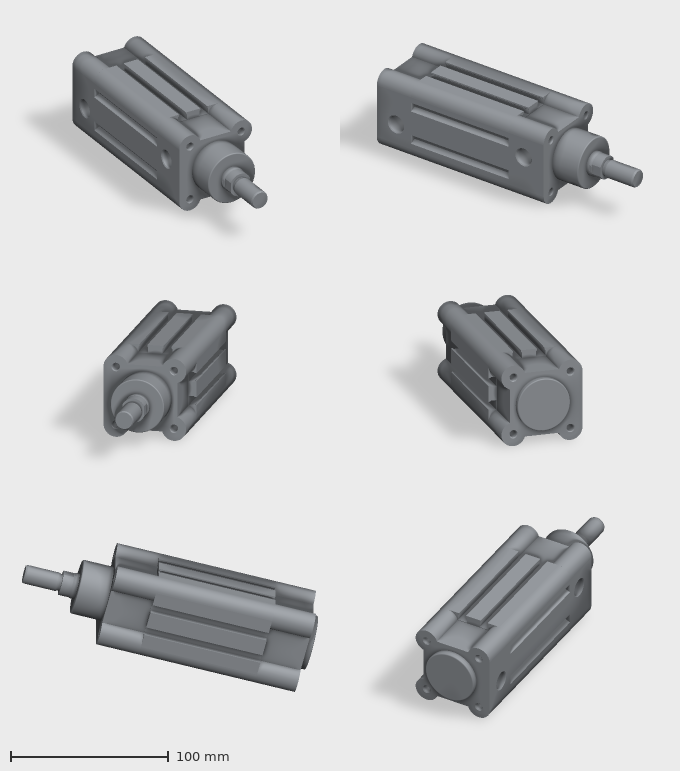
import cadquery as cq
import math

overall_length = 188.0
body_side = 54.0
half_side = body_side / 2
tie_offset = 19.0
corner_radius = half_side - tie_offset

rear_cap_start = 4.1
tube_start = 30.6
tube_end = 106.6
front_cap_end = 133.9
front_boss_end = 153.6

boss_radius = 17.5
boss_edge_radius = 0.8
recess_depth = 5.6
bolt_hole_radius = 2.3
bolt_hole_depth = 15.0
port_radius = 5.8
port_depth = 15.0
port_setback = 11.7
port_rise = 4.9
hole_chamfer = 0.5

slot_offset = 7.9
slot_mouth_width = 5.3
slot_width = 6.4
slot_lip = 1.1
slot_lip_slope = 0.5
slot_depth = 5.3
vee_offset = 11.8
vee_mouth_width = 6.4
vee_floor_width = 2.8
vee_depth = 4.0

rod_radius = 8.3
rod_shoulder = 155.9
flats_radius = 7.9
flats_start = 157.2
flats_end = 164.0
flat_offset = 7.1
run_out_offset = 7.7
neck_radius = 5.5
neck_end = 164.9
thread_radius = 6.0
thread_start = 166.5
tip_chamfer_length = 1.1
tip_chamfer_depth = 0.5


def x_cylinder(start, end, radius):
    """Round bar on the cylinder axis."""
    return cq.Workplane("YZ", origin=(start, 0, 0)).circle(radius).extrude(end - start)


def square_bar(start, end):
    """Square bar along X with rounded long edges."""
    bar = cq.Workplane("YZ", origin=(start, 0, 0)).rect(body_side, body_side).extrude(end - start)
    return bar.edges("|X").fillet(corner_radius)


def chamfered_hole(mouth, direction, radius, depth):
    """Cutter for a blind hole with a chamfered mouth, running from mouth along direction."""
    mouth_plane = cq.Plane(origin=mouth, xDir=(0, 0, 1), normal=direction)
    bore = cq.Workplane(mouth_plane).circle(radius).extrude(depth)
    countersink = cq.Solid.makeCone(
        radius + hole_chamfer, radius, hole_chamfer, cq.Vector(*mouth), cq.Vector(*direction)
    )
    return bore.union(cq.Workplane(countersink))


def cap_block(start, end):
    """Cap blank: four round corner ears joined by recessed sides, with a flat -Y side."""
    floor = half_side - recess_depth
    ear_inner = tie_offset - math.sqrt(corner_radius**2 - (floor - tie_offset) ** 2)
    ear_tip = tie_offset + corner_radius * math.sqrt(0.5)
    outline = (
        cq.Workplane("YZ", origin=(start, 0, 0))
        .moveTo(-half_side, tie_offset)
        .threePointArc((-tie_offset, half_side), (-ear_inner, floor))
        .lineTo(ear_inner, floor)
        .threePointArc((ear_tip, ear_tip), (floor, ear_inner))
        .lineTo(floor, -ear_inner)
        .threePointArc((ear_tip, -ear_tip), (ear_inner, -floor))
        .lineTo(-ear_inner, -floor)
        .threePointArc((-tie_offset, -half_side), (-half_side, -tie_offset))
        .close()
    )
    return outline.extrude(end - start)


def make_cap(start, end, outer_face, inward, port_x, port_z):
    """Cap block with bolt holes in its outer face and an air port on the -Y side."""
    cap = cap_block(start, end)
    for y in (-tie_offset, tie_offset):
        for z in (-tie_offset, tie_offset):
            mouth = (outer_face, y, z)
            cap = cap.cut(chamfered_hole(mouth, (inward, 0, 0), bolt_hole_radius, bolt_hole_depth))
    return cap.cut(chamfered_hole((port_x, -half_side, port_z), (0, 1, 0), port_radius, port_depth))


def make_rear_cap():
    """Rear cap with its short closed centring boss."""
    block = make_cap(
        rear_cap_start, tube_start, rear_cap_start, 1, tube_start - port_setback, -port_rise
    )
    boss = x_cylinder(0, rear_cap_start, boss_radius).faces("<X").edges().fillet(boss_edge_radius)
    return block.union(boss)


def make_front_cap():
    """Front cap with its long boss, bored through for the rod."""
    block = make_cap(tube_end, front_cap_end, front_cap_end, -1, tube_end + port_setback, port_rise)
    boss = x_cylinder(front_cap_end, front_boss_end, boss_radius).faces(">X").edges().fillet(boss_edge_radius)
    return block.union(boss).cut(x_cylinder(tube_end, front_boss_end, rod_radius))


def lipped_slot(centre_y):
    """Cutter for a narrow-mouthed slot in the +Z side of the tube."""
    mouth = slot_mouth_width / 2
    inside = slot_width / 2
    lip_bottom = half_side - slot_lip
    wall_top = lip_bottom - slot_lip_slope
    floor = half_side - slot_depth
    half_outline = [(mouth, half_side), (mouth, lip_bottom), (inside, wall_top), (inside, floor)]
    mirrored = [(-y, z) for y, z in reversed(half_outline)]
    outline = [(centre_y + y, z) for y, z in half_outline + mirrored]
    return cq.Workplane("YZ", origin=(tube_start, 0, 0)).polyline(outline).close().extrude(tube_end - tube_start)


def tapered_groove(centre_z):
    """Cutter for a groove in the -Y side of the tube that narrows towards its floor."""
    mouth = vee_mouth_width / 2
    floor = vee_floor_width / 2
    floor_y = vee_depth - half_side
    outline = [
        (-half_side, centre_z + mouth),
        (floor_y, centre_z + floor),
        (floor_y, centre_z - floor),
        (-half_side, centre_z - mouth),
    ]
    return cq.Workplane("YZ", origin=(tube_start, 0, 0)).polyline(outline).close().extrude(tube_end - tube_start)


def make_tube():
    """Profiled tube: lipped slots on three sides, tapered grooves on the -Y side."""
    tube = square_bar(tube_start, tube_end)
    for side in (1, -1):
        slot = lipped_slot(side * slot_offset)
        for turn in (0, -90, 180):
            tube = tube.cut(slot.rotate((0, 0, 0), (1, 0, 0), turn))
        tube = tube.cut(tapered_groove(side * vee_offset))
    return tube


def flat_pair(start, end, offset):
    """Cutter that leaves flats at -offset and +offset in Y."""
    length = end - start
    slab_side = 2 * rod_radius
    slab = cq.Workplane().box(length, slab_side, slab_side)
    shift = offset + slab_side / 2
    middle = (start + end) / 2
    return slab.translate((middle, shift, 0)).union(slab.translate((middle, -shift, 0)))


def make_rod():
    """Piston rod: shank, spanner flats, undercut neck and threaded end with a chamfered tip."""
    outline = [
        (tube_end, 0),
        (tube_end, rod_radius),
        (rod_shoulder, rod_radius),
        (flats_start, flats_radius),
        (flats_end, flats_radius),
        (flats_end, neck_radius),
        (neck_end, neck_radius),
        (thread_start, thread_radius),
        (overall_length - tip_chamfer_length, thread_radius),
        (overall_length, thread_radius - tip_chamfer_depth),
        (overall_length, 0),
    ]
    rod = cq.Workplane("XY").polyline(outline).close().revolve(360, (0, 0, 0), (1, 0, 0))
    rod = rod.cut(flat_pair(rod_shoulder, flats_start, run_out_offset))
    return rod.cut(flat_pair(flats_start, flats_end, flat_offset))


rear_cap = make_rear_cap()
tube = make_tube()
front_cap = make_front_cap()
rod = make_rod()

bodies = (rear_cap, tube, front_cap, rod)
result = cq.Compound.makeCompound([body.solids().val() for body in bodies])